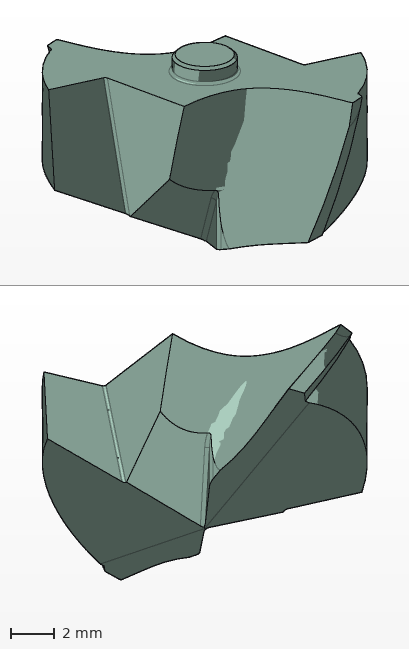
import cadquery as cq
import math


BODY_HEIGHT = 8.5
LAND_RADIUS = 7.8
RELIEF_RADIUS = 7.45
HELIX_ANGLE = 30.0
END_MARGIN = 0.62
TIP = (0, 0, 0)
FAR = 31.2

LAND_START_ANGLE = 14.4
LAND_END_ANGLE = 20.2
RELIEF_START_ANGLE = 22.9
WALL_OFFSET = 3.57
FLUTE_END_X = 1.97
FLUTE_CURVE = [(5.07, 1.37), (3.67, 0.7), (2.68, -0.25), (2.22, -1.25), (2.0, -2.31)]

NOTCH_CORNER_X = -2.9
FLANK_SLOPE = 0.36
NOTCH_LEAN_X = -0.19
NOTCH_LEAN_Y = -0.021
NOTCH_DEPTH = 6.24
NOTCH_END_X = 3.9
NOTCH_FILLET = 0.15

POINT_SLOPE = math.tan(math.radians(20.0))
PRIMARY_SLOPE = 0.1
SECONDARY_SLOPE = 0.39
GASH_SLOPE_X = 1.04
GASH_SLOPE_Y = -1.0
GASH_WALL_SLOPE = -0.69
GASH_BEND_X = 1.9
GASH_BEND_RADIUS = 0.7
GASH_FILLET = 0.23

LAND_FLAT_POINT = (7.43, 1.9, BODY_HEIGHT)
LAND_FLAT_NORMAL = (1.0, 0.17, 0.17)

PIN_RADIUS = 1.5
PIN_HEIGHT = 0.85
PIN_CHAMFER = 0.14
PIN_FOOT_FILLET = 0.14


def polar(radius, angle):
    a = math.radians(angle)
    return (radius * math.cos(a), radius * math.sin(a))


def opposite(point):
    return (-point[0], -point[1])


def unchanged(point):
    return point


def half_turn(shape):
    return shape.rotate((0, 0, 0), (0, 0, 1), 180)


def fluted_blank():
    """Twist the cross-section (flute, land, relief; then the same again) along the helix."""
    flute_exit = (FLUTE_END_X, -math.sqrt(RELIEF_RADIUS**2 - FLUTE_END_X**2))
    exit_angle = math.degrees(math.atan2(flute_exit[1], flute_exit[0])) + 180
    relief_middle = (RELIEF_START_ANGLE + exit_angle) / 2
    land_middle = (LAND_START_ANGLE + LAND_END_ANGLE) / 2
    land_start = polar(LAND_RADIUS, LAND_START_ANGLE)

    section = cq.Workplane("XY").moveTo(*flute_exit)
    for place in (unchanged, opposite):
        section = section.lineTo(*place((FLUTE_END_X, -WALL_OFFSET)))
        curve = [place(p) for p in FLUTE_CURVE[::-1] + [land_start]]
        section = section.spline(curve, includeCurrent=True)
        section = section.threePointArc(
            place(polar(LAND_RADIUS, land_middle)), place(polar(LAND_RADIUS, LAND_END_ANGLE))
        )
        section = section.lineTo(*place(polar(RELIEF_RADIUS, RELIEF_START_ANGLE)))
        section = section.threePointArc(
            place(polar(RELIEF_RADIUS, relief_middle)), place(opposite(flute_exit))
        )
    length = BODY_HEIGHT + END_MARGIN
    twist = math.degrees(length * math.tan(math.radians(HELIX_ANGLE)) / LAND_RADIUS)
    blank = section.close().twistExtrude(length, twist)
    return blank.rotate((0, 0, 0), (0, 0, 1), -twist).translate((0, 0, -END_MARGIN))


def notch_section(z):
    """Outline of the leaning notch at height z, starting from its inner corner."""
    rise = z - BODY_HEIGHT
    x = NOTCH_CORNER_X + NOTCH_LEAN_X * rise
    y = -WALL_OFFSET + NOTCH_LEAN_Y * rise
    outer_y = y - NOTCH_DEPTH
    points = [
        (x, y),
        (x - FLANK_SLOPE * NOTCH_DEPTH, outer_y),
        (NOTCH_END_X, outer_y),
        (NOTCH_END_X, y),
    ]
    return cq.Wire.makePolygon([cq.Vector(px, py, z) for px, py in points], close=True)


def notch():
    """Leaning prism with its inner corner edge rounded."""
    bottom = notch_section(-END_MARGIN)
    top = notch_section(BODY_HEIGHT + END_MARGIN)
    prism = cq.Workplane(cq.Solid.makeLoft([bottom, top], True))
    corner = cq.selectors.NearestToPointSelector((NOTCH_CORNER_X / 2, -WALL_OFFSET, BODY_HEIGHT / 2))
    return prism.edges("not #Z").edges(corner).fillet(NOTCH_FILLET)


def block_beyond(normal, point=TIP):
    """Large block on the side of a plane through the point that the normal points to."""
    plane = cq.Plane(origin=point, normal=normal)
    return cq.Workplane(plane).rect(FAR, FAR).extrude(FAR)


def below_facet(slope_x, slope_y):
    return block_beyond((slope_x, slope_y, -1))


def gash():
    """Cutter under the gash plane and in front of the upright wall, rounded along their root."""
    wall_angle = math.atan(GASH_WALL_SLOPE)
    bend_start = (GASH_BEND_X, GASH_BEND_X * GASH_WALL_SLOPE)
    bend_end = (
        bend_start[0] - GASH_BEND_RADIUS * math.sin(wall_angle),
        bend_start[1] - GASH_BEND_RADIUS * (1 - math.cos(wall_angle)),
    )
    in_front_of_wall = (
        cq.Workplane("XY", origin=(0, 0, -FAR))
        .moveTo(-FAR, -FAR * GASH_WALL_SLOPE)
        .lineTo(*bend_start)
        .radiusArc(bend_end, -GASH_BEND_RADIUS)
        .lineTo(FAR, bend_end[1])
        .lineTo(FAR, -FAR)
        .lineTo(-FAR, -FAR)
        .close()
        .extrude(2 * FAR)
    )
    cutter = below_facet(GASH_SLOPE_X, GASH_SLOPE_Y).intersect(in_front_of_wall)
    root_rise = GASH_SLOPE_X + GASH_SLOPE_Y * GASH_WALL_SLOPE
    root = cq.selectors.ParallelDirSelector(cq.Vector(1, GASH_WALL_SLOPE, root_rise))
    root_x = GASH_BEND_X / 2
    on_root = (root_x, root_x * GASH_WALL_SLOPE, root_x * root_rise)
    nearest = cq.selectors.NearestToPointSelector(on_root)
    return cutter.edges(root).edges(nearest).fillet(GASH_FILLET)


def pin():
    """Round pin with a chamfered end and a fillet at its foot."""
    foot = PIN_RADIUS + PIN_FOOT_FILLET
    shoulder = PIN_HEIGHT - PIN_CHAMFER
    arc_inset = PIN_FOOT_FILLET * (1 - math.sqrt(0.5))
    arc_middle = (PIN_RADIUS + arc_inset, arc_inset)
    profile = (
        cq.Workplane("XZ")
        .moveTo(0, 0)
        .lineTo(foot, 0)
        .threePointArc(arc_middle, (PIN_RADIUS, PIN_FOOT_FILLET))
        .lineTo(PIN_RADIUS, shoulder)
        .lineTo(PIN_RADIUS - PIN_CHAMFER, PIN_HEIGHT)
        .lineTo(0, PIN_HEIGHT)
        .close()
    )
    return profile.revolve(360, (0, 0, 0), (0, 1, 0)).translate((0, 0, BODY_HEIGHT))


cutters = [
    notch(),
    below_facet(POINT_SLOPE, PRIMARY_SLOPE),
    below_facet(POINT_SLOPE, SECONDARY_SLOPE),
    gash(),
    block_beyond(LAND_FLAT_NORMAL, LAND_FLAT_POINT),
]
result = fluted_blank()
for cutter in cutters:
    result = result.cut(cutter).cut(half_turn(cutter))
result = result.union(pin())